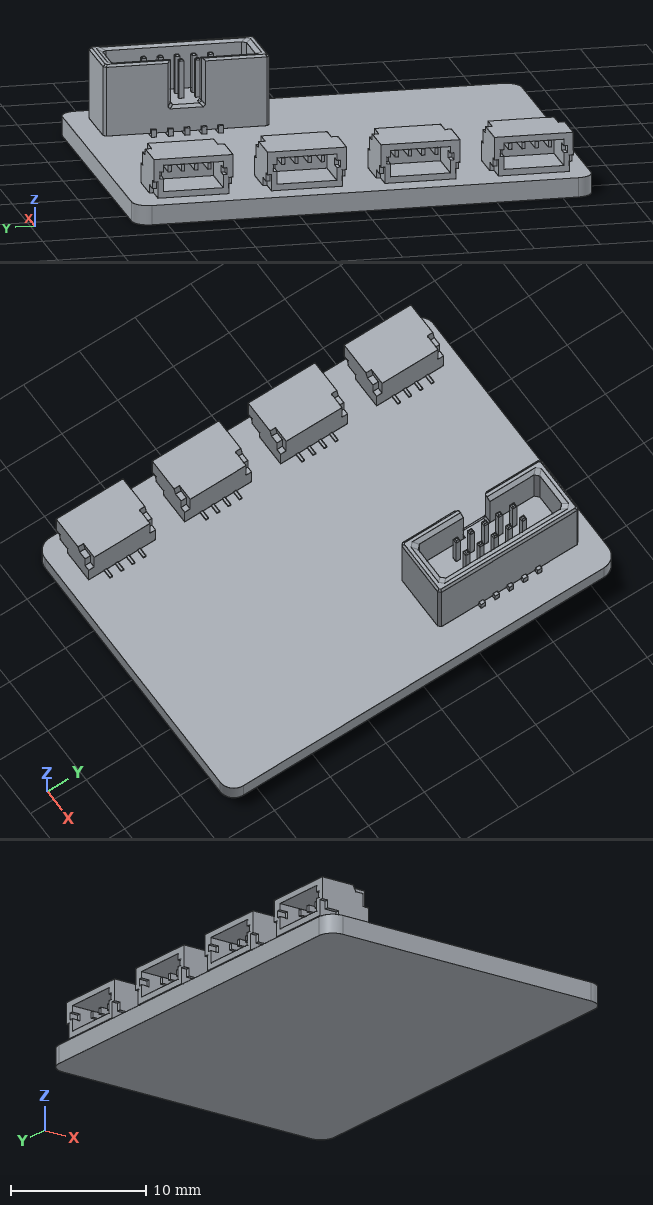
import cadquery as cq
BOARD_X = 25.3
BOARD_Y = 34.85
BOARD_T = 1.5
BOARD_CORNER_R = 1.25

SOCKET_COUNT = 4
SOCKET_SPACING = 8.6
SOCKET_EDGE_GAP = 0.5
SOCKET_LIFT = 0.4
SOCKET_X = 4.25
SOCKET_Y = 6.0
SOCKET_Z = 3.0
CAVITY_DEPTH = 3.25
CAVITY_Y = 4.53
CAVITY_WALL = 0.5
KEY_SLOT_DEPTH = 0.28
KEY_SLOT_X = 0.7
KEY_SLOT_Z = 0.52
KEY_SLOT_MID_Z = 1.75
FRONT_NOTCH_Y = 0.3
FRONT_NOTCH_STEP_X = 0.5
FRONT_NOTCH_STEP_Z = 1.25
FRONT_NOTCH_X = 1.5
FRONT_NOTCH_Z = 0.63
REAR_NOTCH_Y = 0.5
REAR_NOTCH_TOP_X = 1.4
REAR_NOTCH_X = 1.2
REAR_NOTCH_Z = 0.5
REAR_NOTCH_STEP_X = 0.5
REAR_NOTCH_STEP_Z = 1.5
CONTACT_COUNT = 4
CONTACT_PITCH = 1.0
CONTACT_Y = 0.25
CONTACT_Z = 0.5
CONTACT_LENGTH = 2.0
CONTACT_MID_Z = 1.85
TAIL_LENGTH = 0.75
TAIL_T = 0.1

HEADER_MID_X = 7.5
HEADER_MID_Y = 9.48
HEADER_X = 5.1
HEADER_Y = 12.58
HEADER_LIFT = 0.25
HEADER_TOP = 5.7
HEADER_EDGE = 0.2
RIM_EDGE = 0.17
WELL_X = 3.45
WELL_Y = 10.9
WELL_DEPTH = 3.45
WELL_CORNER = 0.3
LEAD_IN_WIDTH = 0.4
LEAD_IN_DEPTH = 0.17
KEYWAY_Y = 2.37
KEYWAY_CORNER = 0.17
KEYWAY_EDGE = 0.25
PIN_ROWS = 2
PINS_PER_ROW = 5
PIN_PITCH = 1.268
PIN_SIDE = 0.4
PIN_TIP = 0.1
PIN_TOP_GAP = 0.5
FOOT_SPAN = 5.65
FOOT_Z = 0.55


def make_box(x_range, y_range, z_range):
    """Box spanning the given (low, high) ranges."""
    lows, highs = zip(x_range, y_range, z_range)
    sizes = [high - low for low, high in zip(lows, highs)]
    return cq.Workplane("XY").box(*sizes, centered=False).translate(lows)


def centred(middle, size):
    """(low, high) range of the given size about a middle."""
    return (middle - size / 2, middle + size / 2)


def evenly_spaced(count, pitch):
    """Positions of a row that is centred on zero."""
    return [(i - (count - 1) / 2) * pitch for i in range(count)]


def make_board():
    board = make_box(centred(0, BOARD_X), centred(0, BOARD_Y), (-BOARD_T, 0))
    return board.edges("|Z").fillet(BOARD_CORNER_R)


def cut_side_notches(socket, outline, depth):
    """Cut an XZ outline into both Y sides of a socket."""
    for y_start in (-SOCKET_Y / 2 + depth, SOCKET_Y / 2):
        notch = cq.Workplane("XZ", origin=(0, y_start, 0)).polyline(outline).close().extrude(depth)
        socket = socket.cut(notch)
    return socket


def make_socket():
    """Socket with its mouth at X = 0, its bottom at Z = 0 and its middle at Y = 0."""
    socket = make_box((0, SOCKET_X), centred(0, SOCKET_Y), (0, SOCKET_Z))

    cavity_z = (CAVITY_WALL, SOCKET_Z - CAVITY_WALL)
    socket = socket.cut(make_box((0, CAVITY_DEPTH), centred(0, CAVITY_Y), cavity_z))
    slot_y = centred(0, CAVITY_Y + 2 * KEY_SLOT_DEPTH)
    socket = socket.cut(make_box((0, KEY_SLOT_X), slot_y, centred(KEY_SLOT_MID_Z, KEY_SLOT_Z)))

    front_outline = [
        (0, 0),
        (FRONT_NOTCH_X, 0),
        (FRONT_NOTCH_X, FRONT_NOTCH_Z),
        (FRONT_NOTCH_STEP_X, FRONT_NOTCH_Z),
        (FRONT_NOTCH_STEP_X, FRONT_NOTCH_STEP_Z),
        (0, FRONT_NOTCH_STEP_Z),
    ]
    socket = cut_side_notches(socket, front_outline, FRONT_NOTCH_Y)
    rear_outline = [
        (SOCKET_X, SOCKET_Z),
        (SOCKET_X - REAR_NOTCH_TOP_X, SOCKET_Z),
        (SOCKET_X - REAR_NOTCH_X, SOCKET_Z - REAR_NOTCH_Z),
        (SOCKET_X - REAR_NOTCH_STEP_X, SOCKET_Z - REAR_NOTCH_Z),
        (SOCKET_X - REAR_NOTCH_STEP_X, SOCKET_Z - REAR_NOTCH_STEP_Z),
        (SOCKET_X, SOCKET_Z - REAR_NOTCH_STEP_Z),
    ]
    socket = cut_side_notches(socket, rear_outline, REAR_NOTCH_Y)

    contact_x = (CAVITY_DEPTH - CONTACT_LENGTH, CAVITY_DEPTH)
    for y in evenly_spaced(CONTACT_COUNT, CONTACT_PITCH):
        contact_y = centred(y, CONTACT_Y)
        socket = socket.union(make_box(contact_x, contact_y, centred(CONTACT_MID_Z, CONTACT_Z)))
        socket = socket.union(make_box((SOCKET_X, SOCKET_X + TAIL_LENGTH), contact_y, (0, TAIL_T)))
    return socket


def well_outline(margin):
    """XY corners of the well, widened by a margin, with every corner bevelled."""
    half_x = WELL_X / 2 + margin
    half_y = WELL_Y / 2 + margin
    return [
        (half_x, half_y - WELL_CORNER),
        (half_x - WELL_CORNER, half_y),
        (-half_x + WELL_CORNER, half_y),
        (-half_x, half_y - WELL_CORNER),
        (-half_x, -half_y + WELL_CORNER),
        (-half_x + WELL_CORNER, -half_y),
        (half_x - WELL_CORNER, -half_y),
        (half_x, -half_y + WELL_CORNER),
    ]


def keyway_outline(margin):
    """YZ corners of the keyway, widened and deepened by a margin, with the lower corners bevelled."""
    half_y = KEYWAY_Y / 2 + margin
    floor_z = HEADER_TOP - WELL_DEPTH - margin
    return [
        (-half_y, HEADER_TOP),
        (-half_y, floor_z + KEYWAY_CORNER),
        (-half_y + KEYWAY_CORNER, floor_z),
        (half_y - KEYWAY_CORNER, floor_z),
        (half_y, floor_z + KEYWAY_CORNER),
        (half_y, HEADER_TOP),
    ]


def bevel_cutter(workplane, outline, margin, depth):
    """Solid whose outline narrows from the margin to none over a depth along the workplane normal."""
    return (
        workplane.polyline(outline(margin))
        .close()
        .workplane(offset=depth)
        .polyline(outline(0))
        .close()
        .loft(ruled=True)
    )


def make_shroud():
    """Open-topped header housing, centred on X = Y = 0, with its height above the board."""
    shroud = make_box(centred(0, HEADER_X), centred(0, HEADER_Y), (HEADER_LIFT, HEADER_TOP))
    shroud = shroud.edges("|Z").chamfer(HEADER_EDGE)
    shroud = shroud.faces(">Z").chamfer(RIM_EDGE)

    rim = cq.Workplane("XY", origin=(0, 0, HEADER_TOP))
    well = rim.polyline(well_outline(0)).close().extrude(-WELL_DEPTH)
    lead_in = bevel_cutter(rim, well_outline, LEAD_IN_WIDTH, -LEAD_IN_DEPTH)
    shroud = shroud.cut(well).cut(lead_in)

    outer_face = cq.Workplane("YZ", origin=(-HEADER_X / 2, 0, 0))
    keyway = outer_face.polyline(keyway_outline(0)).close().extrude(HEADER_X / 2)
    keyway_flare = bevel_cutter(outer_face, keyway_outline, KEYWAY_EDGE, KEYWAY_EDGE)
    return shroud.cut(keyway).cut(keyway_flare)


def make_header():
    """Shroud with its upright pins and the feet under it, as one body."""
    header = make_shroud()
    floor_z = HEADER_TOP - WELL_DEPTH
    foot_start = -(PIN_PITCH - PIN_SIDE) / 2
    for y in evenly_spaced(PINS_PER_ROW, PIN_PITCH):
        for x in evenly_spaced(PIN_ROWS, PIN_PITCH):
            pin = make_box(centred(x, PIN_SIDE), centred(y, PIN_SIDE), (floor_z, HEADER_TOP - PIN_TOP_GAP))
            header = header.union(pin.faces(">Z").chamfer(PIN_TIP))
        left_foot = make_box((-FOOT_SPAN / 2, foot_start), centred(y, PIN_SIDE), (0, FOOT_Z))
        header = header.union(left_foot).union(left_foot.mirror("YZ"))
    return header.translate((HEADER_MID_X, HEADER_MID_Y, 0))


board = make_board()
header = make_header()
socket_x = -BOARD_X / 2 + SOCKET_EDGE_GAP
sockets = [
    make_socket().translate((socket_x, y, SOCKET_LIFT))
    for y in evenly_spaced(SOCKET_COUNT, SOCKET_SPACING)
]

result = cq.Compound.makeCompound([board.val(), header.val(), *[socket.val() for socket in sockets]])